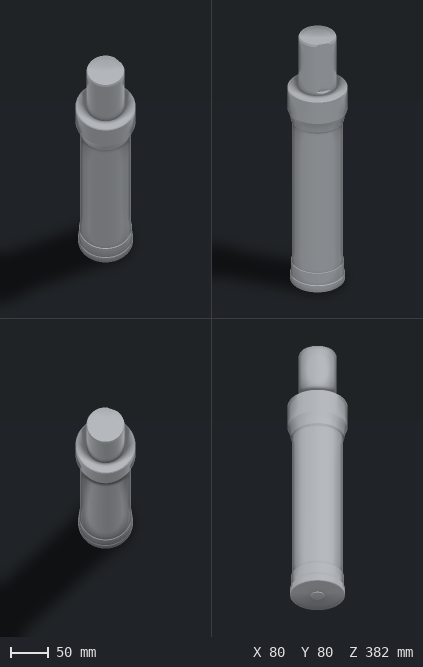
import cadquery as cq

TOTAL_HEIGHT = 382.0

ROD_RADIUS = 50.8 / 2
ROD_CHAMFER_HEIGHT = 3.0
ROD_CHAMFER_WIDTH = 1.0
FLAT_DISTANCE = 23.3
FLAT_START = 3.5
RUNOUT_HEIGHT = ROD_RADIUS - FLAT_DISTANCE

COLLAR_RADIUS = 80.0 / 2
COLLAR_TOP = 302.5
COLLAR_BOTTOM = 267.8
COLLAR_CHAMFER = 1.0

NECK_RADIUS = 35.5
NECK_BOTTOM = 251.7
NECK_BULGE = 0.8
TUBE_TOP = 249.5

TUBE_RADIUS = 68.0 / 2
BAND_RADIUS = 70.5 / 2
BAND_TOP = 30.5
FOOT_RADIUS = 73.0 / 2
FOOT_TOP = 12.2
FOOT_BOTTOM = 1.0
FOOT_CHAMFER = 0.8

BOSS_RADIUS = 9.0


def make_housing():
    """Turned housing: collar, concave neck, tube, base bands and bottom boss."""
    neck_middle_radius = (COLLAR_RADIUS + NECK_RADIUS) / 2 - NECK_BULGE
    neck_middle_height = (COLLAR_BOTTOM + NECK_BOTTOM) / 2
    profile = (
        cq.Workplane("XZ")
        .moveTo(0, 0)
        .lineTo(BOSS_RADIUS, 0)
        .lineTo(BOSS_RADIUS, FOOT_BOTTOM)
        .lineTo(FOOT_RADIUS - FOOT_CHAMFER, FOOT_BOTTOM)
        .lineTo(FOOT_RADIUS, FOOT_BOTTOM + FOOT_CHAMFER)
        .lineTo(FOOT_RADIUS, FOOT_TOP - FOOT_CHAMFER)
        .lineTo(FOOT_RADIUS - FOOT_CHAMFER, FOOT_TOP)
        .lineTo(BAND_RADIUS, FOOT_TOP)
        .lineTo(BAND_RADIUS, BAND_TOP)
        .lineTo(TUBE_RADIUS, BAND_TOP)
        .lineTo(TUBE_RADIUS, TUBE_TOP)
        .lineTo(NECK_RADIUS, NECK_BOTTOM)
        .threePointArc((neck_middle_radius, neck_middle_height), (COLLAR_RADIUS, COLLAR_BOTTOM))
        .lineTo(COLLAR_RADIUS, COLLAR_TOP - COLLAR_CHAMFER)
        .lineTo(COLLAR_RADIUS - COLLAR_CHAMFER, COLLAR_TOP)
        .lineTo(0, COLLAR_TOP)
        .close()
    )
    return profile.revolve(360, (0, 0), (0, 1))


def make_flat_cutter():
    """Prism that cuts the flat on the +Y side of the rod, with a sloped lower end."""
    runout_bottom = COLLAR_TOP + FLAT_START
    runout_top = runout_bottom + RUNOUT_HEIGHT
    return (
        cq.Workplane("YZ")
        .moveTo(FLAT_DISTANCE, runout_top)
        .lineTo(ROD_RADIUS, runout_bottom)
        .lineTo(ROD_RADIUS, TOTAL_HEIGHT)
        .lineTo(FLAT_DISTANCE, TOTAL_HEIGHT)
        .close()
        .extrude(ROD_RADIUS, both=True)
    )


def make_rod():
    """Round rod standing on the collar, chamfered at the top and flattened on one side."""
    profile = (
        cq.Workplane("XZ")
        .moveTo(0, COLLAR_TOP)
        .lineTo(ROD_RADIUS, COLLAR_TOP)
        .lineTo(ROD_RADIUS, TOTAL_HEIGHT - ROD_CHAMFER_HEIGHT)
        .lineTo(ROD_RADIUS - ROD_CHAMFER_WIDTH, TOTAL_HEIGHT)
        .lineTo(0, TOTAL_HEIGHT)
        .close()
    )
    return profile.revolve(360, (0, 0), (0, 1)).cut(make_flat_cutter())


housing = make_housing()
rod = make_rod()

result = cq.Compound.makeCompound([housing.val(), rod.val()])